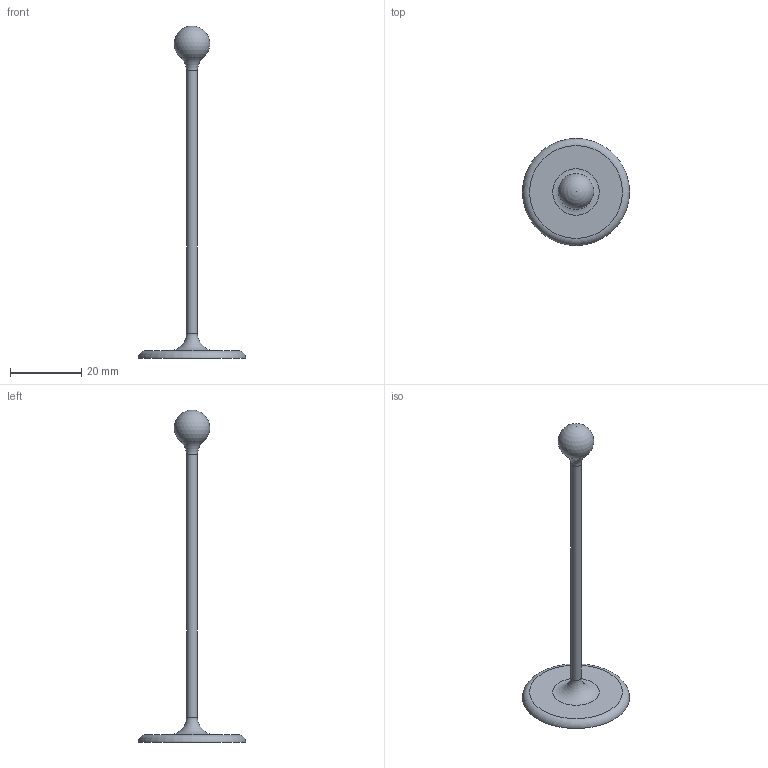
import cadquery as cq
import math

BASE_RADIUS = 15.0
BASE_THICKNESS = 2.0
RIM_RADIUS = BASE_THICKNESS
ROD_RADIUS = 1.5
BALL_RADIUS = 5.0
BLEND_RADIUS = 5.0
TOTAL_HEIGHT = 93.0

BALL_Z = TOTAL_HEIGHT - BALL_RADIUS
BLEND_CENTRE_X = ROD_RADIUS + BLEND_RADIUS
BLEND_CENTRE_DISTANCE = BALL_RADIUS + BLEND_RADIUS
NECK_Z = BALL_Z - math.sqrt(BLEND_CENTRE_DISTANCE**2 - BLEND_CENTRE_X**2)
FOOT_Z = BASE_THICKNESS + BLEND_RADIUS

NECK_ANGLE = math.acos(BLEND_CENTRE_X / BLEND_CENTRE_DISTANCE)


def arc_point(centre_x, centre_z, radius, angle):
    """Point of the half section on a circle, at an angle from the outward direction."""
    return (centre_x + radius * math.cos(angle), centre_z + radius * math.sin(angle))


def make_stand():
    """Base disc, rod and ball, turned as one profile about the Z axis."""
    quarter = math.pi / 2
    rim_mid = arc_point(BASE_RADIUS - RIM_RADIUS, 0, RIM_RADIUS, quarter / 2)
    foot_mid = arc_point(BLEND_CENTRE_X, FOOT_Z, BLEND_RADIUS, math.pi + quarter / 2)
    neck_mid = arc_point(BLEND_CENTRE_X, NECK_Z, BLEND_RADIUS, math.pi - NECK_ANGLE / 2)
    neck_end = arc_point(0, BALL_Z, BALL_RADIUS, -NECK_ANGLE)
    ball_side = (BALL_RADIUS, BALL_Z)

    profile = (
        cq.Workplane("XZ")
        .lineTo(BASE_RADIUS, 0)
        .threePointArc(rim_mid, (BASE_RADIUS - RIM_RADIUS, BASE_THICKNESS))
        .lineTo(BLEND_CENTRE_X, BASE_THICKNESS)
        .threePointArc(foot_mid, (ROD_RADIUS, FOOT_Z))
        .lineTo(ROD_RADIUS, NECK_Z)
        .threePointArc(neck_mid, neck_end)
        .threePointArc(ball_side, (0, TOTAL_HEIGHT))
        .close()
    )
    return profile.revolve(360, (0, 0, 0), (0, 1, 0))


result = make_stand()